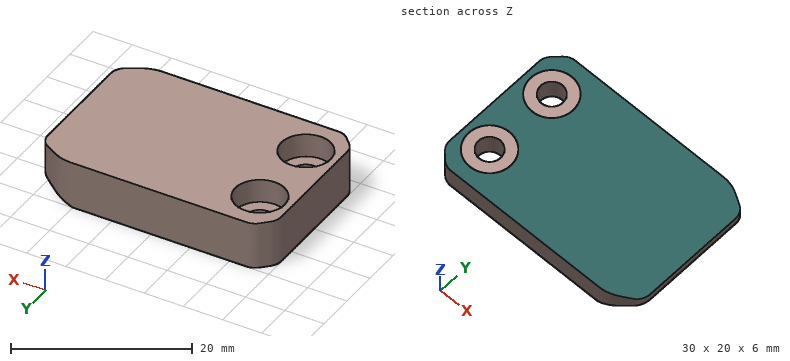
import cadquery as cq
import math

length = 30.0
width = 20.0
height = 6.0
half_length = length / 2
half_width = width / 2

screw_end_chamfer = 2.0
screw_end_radius = 2.0

taper_depth = 2.0
taper_angle = 30.0
taper_length = taper_depth / math.tan(math.radians(taper_angle))
taper_side_radius = 5.0
taper_end_radius = 2.0

ramp_length = 5.0
ramp_rise = 2.0

hole_diameter = 3.3
counterbore_diameter = 6.3
counterbore_depth = 3.0
hole_spacing = 10.0
hole_inset = 4.0


def round_upright_edges(body, x, y, radius):
    """Round the pair of vertical edges that stand at (x, y) and (x, -y)."""
    for side in (-1, 1):
        edge = cq.selectors.NearestToPointSelector((x, side * y, height / 2))
        body = body.edges("|Z").edges(edge).fillet(radius)
    return body


def make_block():
    """Plate with clipped corners, all of its upright corner edges rounded."""
    upper_side = [
        (half_length, half_width - taper_depth),
        (half_length - taper_length, half_width),
        (-half_length + screw_end_chamfer, half_width),
        (-half_length, half_width - screw_end_chamfer),
    ]
    lower_side = [(x, -y) for x, y in reversed(upper_side)]
    body = cq.Workplane("XY").polyline(upper_side + lower_side).close().extrude(height)

    corner_radii = [taper_end_radius, taper_side_radius, screw_end_radius, screw_end_radius]
    for (x, y), radius in zip(upper_side, corner_radii):
        body = round_upright_edges(body, x, y, radius)
    return body


def cut_ramp(body):
    """Slope the underside upward toward the +X end, across the full width."""
    wedge = (
        cq.Workplane("XZ")
        .moveTo(half_length - ramp_length, 0)
        .lineTo(half_length, 0)
        .lineTo(half_length, ramp_rise)
        .close()
        .extrude(half_width, both=True)
    )
    return body.cut(wedge)


def cut_screw_holes(body):
    """Two through holes near the -X end, counterbored from the top."""
    hole_x = -half_length + hole_inset
    centres = [(hole_x, side * hole_spacing / 2) for side in (-1, 1)]
    return (
        body.faces(">Z")
        .workplane(origin=(0, 0, height))
        .pushPoints(centres)
        .cboreHole(hole_diameter, counterbore_diameter, counterbore_depth)
    )


result = cut_screw_holes(cut_ramp(make_block()))